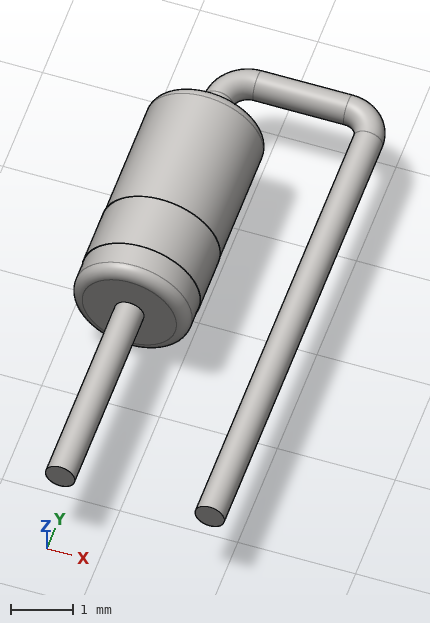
import cadquery as cq


body_diameter = 2.0
body_length = 4.0
body_edge_radius = 0.2

band_diameter = 2.02
band_width = 1.0
band_offset = 0.6

lead_diameter = 0.5
lead_pitch = 2.54
straight_lead_length = 3.5
bend_radius = 0.5
bend_height = 1.0

body_start = straight_lead_length
body_end = body_start + body_length
body_middle = body_start + body_length / 2
band_start = body_start + band_offset
crossing_y = body_end + bend_height


def cylinder_along_y(diameter, start, length):
    """Cylinder on the body axis, from Y = start towards +Y."""
    plane = cq.Plane(origin=(0, start, 0), xDir=(1, 0, 0), normal=(0, 1, 0))
    return cq.Workplane(plane).circle(diameter / 2).extrude(length)


def make_body():
    body = cylinder_along_y(body_diameter, body_start, body_length)
    return body.edges("%CIRCLE").fillet(body_edge_radius)


def make_band():
    return cylinder_along_y(band_diameter, band_start, band_width)


def make_straight_lead():
    return cylinder_along_y(lead_diameter, 0, body_middle)


def make_bent_lead():
    """Lead that leaves the upper body end, crosses over and returns to Y = 0."""
    bend_start_y = crossing_y - bend_radius
    path = (
        cq.Workplane("XY")
        .moveTo(0, body_middle)
        .lineTo(0, bend_start_y)
        .radiusArc((bend_radius, crossing_y), bend_radius)
        .lineTo(lead_pitch - bend_radius, crossing_y)
        .radiusArc((lead_pitch, bend_start_y), bend_radius)
        .lineTo(lead_pitch, 0)
    )
    profile_plane = cq.Plane(origin=(0, body_middle, 0), xDir=(1, 0, 0), normal=(0, 1, 0))
    return cq.Workplane(profile_plane).circle(lead_diameter / 2).sweep(path)


result = make_body().union(make_band()).union(make_straight_lead()).union(make_bent_lead())